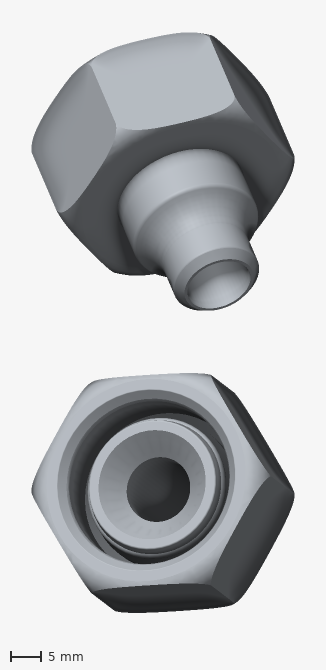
import cadquery as cq
import math


nut_across_corners = 41.55
nut_length = 20.0
nut_corner_rounding = 3.5
nut_bore_radius = 27.8 / 2
nut_hole_radius = 22.22 / 2
nut_mouth_radius = 15.45
nut_mouth_edge_fillet = 0.2
nut_mouth_fillet = 1.0

total_length = 41.0
nipple_front_x = 3.55
nipple_bore_radius = 11.05 / 2
countersink_radius = 9.3
cone_tip_radius = 11.0
cone_half_angle = math.radians(12)
cone_tip_fillet = 0.3
collar_radius = 25.0 / 2
collar_length = 2.0
body_radius = 21.9 / 2
body_end_x = 27.87
body_edge_radius = 1.0
neck_start_x = 28.7
neck_arc_radius = 6.98
tail_radius = 15.0 / 2
tail_start_x = 33.85
tail_chamfer = 1.45
tail_edge_fillet = 0.4

ring_tube_radius = 1.0
ring_center_radius = 11.0
ring_center_x = 6.4

cone_end_x = nipple_front_x + (collar_radius - cone_tip_radius) / math.tan(cone_half_angle)
shoulder_x = cone_end_x + collar_length
shoulder_end_x = shoulder_x + collar_radius - body_radius
seat_start_x = shoulder_x - (nut_bore_radius - collar_radius)
seat_end_x = seat_start_x + nut_bore_radius - nut_hole_radius
tail_chamfer_x = total_length - tail_chamfer
body_edge_run = neck_start_x - body_end_x
neck_start_radius = body_radius - body_edge_radius + math.sqrt(body_edge_radius**2 - body_edge_run**2)


def revolve_about_x(profile):
    """Turn an XY profile (X along the axis, Y as radius) into a solid of revolution."""
    return profile.close().revolve(360, (0, 0, 0), (1, 0, 0))


def circle_at(x, radius):
    """Select the circular edge centred on the axis at this axial place, no larger than the radius."""
    margin = 0.005
    reach = radius + margin
    return cq.selectors.BoxSelector(
        (x - margin, -reach, -reach),
        (x + margin, reach, reach),
        boundingbox=True,
    )


def make_nut():
    corner_radius = nut_across_corners / 2
    hexagon = (
        cq.Workplane("YZ")
        .polygon(6, nut_across_corners)
        .extrude(nut_length)
    )

    barrel = (
        cq.Workplane("YZ")
        .circle(corner_radius)
        .extrude(nut_length)
        .edges("%CIRCLE")
        .fillet(nut_corner_rounding)
    )

    mouth_depth = nut_mouth_radius - nut_bore_radius
    cavity = revolve_about_x(
        cq.Workplane("XY")
        .moveTo(0, 0)
        .lineTo(0, nut_mouth_radius)
        .lineTo(mouth_depth, nut_bore_radius)
        .lineTo(seat_start_x, nut_bore_radius)
        .lineTo(seat_end_x, nut_hole_radius)
        .lineTo(nut_length, nut_hole_radius)
        .lineTo(nut_length, 0)
    )
    cavity = cavity.edges(circle_at(mouth_depth, nut_bore_radius)).fillet(nut_mouth_fillet)
    nut = hexagon.intersect(barrel).cut(cavity)
    return nut.edges(circle_at(0, nut_mouth_radius)).fillet(nut_mouth_edge_fillet)


def make_o_ring():
    return (
        cq.Workplane("XY")
        .center(ring_center_x, ring_center_radius)
        .circle(ring_tube_radius)
        .revolve(360, (0, -ring_center_radius, 0), (1, -ring_center_radius, 0))
    )


def make_nipple(o_ring):
    outside = revolve_about_x(
        cq.Workplane("XY")
        .moveTo(nipple_front_x, 0)
        .lineTo(nipple_front_x, cone_tip_radius)
        .lineTo(cone_end_x, collar_radius)
        .lineTo(shoulder_x, collar_radius)
        .lineTo(shoulder_end_x, body_radius)
        .lineTo(body_end_x, body_radius)
        .radiusArc((neck_start_x, neck_start_radius), body_edge_radius)
        .radiusArc((tail_start_x, tail_radius), -neck_arc_radius)
        .lineTo(tail_chamfer_x, tail_radius)
        .lineTo(total_length, tail_radius - tail_chamfer)
        .lineTo(total_length, 0)
    )
    outside = outside.edges(circle_at(nipple_front_x, cone_tip_radius)).fillet(cone_tip_fillet)
    outside = outside.edges(circle_at(tail_chamfer_x, tail_radius)).fillet(tail_edge_fillet)

    countersink_end_x = nipple_front_x + countersink_radius - nipple_bore_radius
    bore = revolve_about_x(
        cq.Workplane("XY")
        .moveTo(nipple_front_x, 0)
        .lineTo(nipple_front_x, countersink_radius)
        .lineTo(countersink_end_x, nipple_bore_radius)
        .lineTo(total_length, nipple_bore_radius)
        .lineTo(total_length, 0)
    )

    return outside.cut(bore).cut(o_ring)


nut = make_nut()
o_ring = make_o_ring()
nipple = make_nipple(o_ring)

result = cq.Compound.makeCompound([*nut.solids().vals(), *nipple.solids().vals(), o_ring.val()])